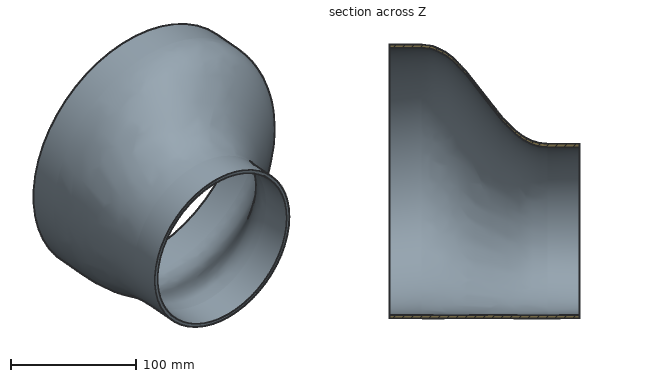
import cadquery as cq

large_diameter = 219.0
small_diameter = 139.8
large_bore = 213.5
small_bore = 133.9
length = 152.0
collar_length = 25.9
axis_offset = (large_diameter - small_diameter) / 2

large_end_handle = 0.41
small_end_handle = 0.42
section_count = 13

transition_length = length - 2 * collar_length


def s_curve(t):
    """Point of a cubic Bezier from (0, 0) to (1, 1), level at both ends: (travel, blend)."""
    travel = (
        3 * large_end_handle * t * (1 - t) ** 2
        + 3 * (1 - small_end_handle) * t**2 * (1 - t)
        + t**3
    )
    blend = 3 * t**2 - 2 * t**3
    return travel, blend


def circle_wire(x, diameter, center_y):
    return cq.Wire.makeCircle(diameter / 2, cq.Vector(x, center_y, 0), cq.Vector(1, 0, 0))


def collar(x, diameter, center_y):
    return cq.Workplane("YZ", origin=(x, center_y, 0)).circle(diameter / 2).extrude(collar_length)


def transition(start_diameter, end_diameter):
    """Smooth loft through circles that shrink and shift towards -Y along the S-curve."""
    sections = []
    for i in range(section_count):
        travel, blend = s_curve(i / (section_count - 1))
        x = collar_length + travel * transition_length
        diameter = start_diameter + blend * (end_diameter - start_diameter)
        sections.append(circle_wire(x, diameter, -blend * axis_offset))
    return cq.Workplane(cq.Solid.makeLoft(sections))


def reducer_body(start_diameter, end_diameter):
    """Solid reducer shape: large collar, transition and small collar."""
    large_collar = collar(0, start_diameter, 0)
    small_collar = collar(length - collar_length, end_diameter, -axis_offset)
    return large_collar.union(transition(start_diameter, end_diameter)).union(small_collar)


outer_body = reducer_body(large_diameter, small_diameter)
bore = reducer_body(large_bore, small_bore)

result = outer_body.cut(bore)